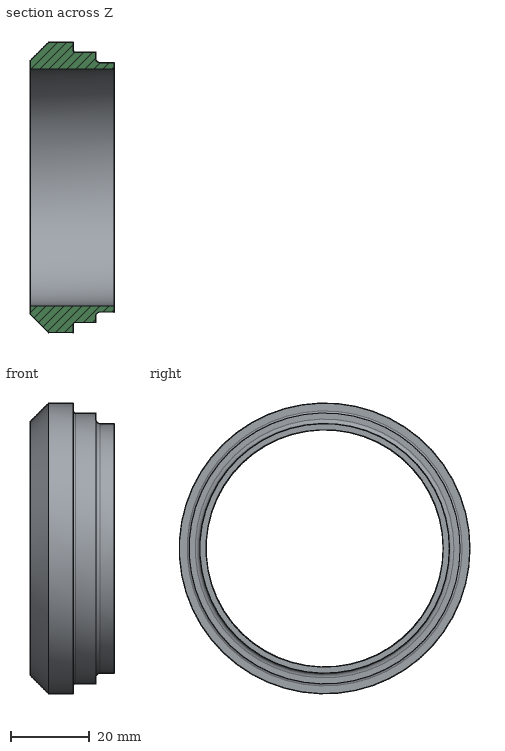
import cadquery as cq

length = 21.45
bore_diameter = 60.2
flange_diameter = 73.95
shoulder_diameter = 68.85
spigot_diameter = 63.5

flange_end = 11.0
shoulder_end = 16.7
taper_size = 4.7
flange_edge_chamfer = 0.1
spigot_edge_chamfer = 0.1
bore_edge_chamfer = 0.15
flange_root_fillet = 0.5
shoulder_root_fillet = 1.1

bore_radius = bore_diameter / 2
flange_radius = flange_diameter / 2
shoulder_radius = shoulder_diameter / 2
spigot_radius = spigot_diameter / 2


def root_fillet(profile, face_x, radius, size):
    """Run down a step face, then blend it with a concave arc into the smaller cylinder."""
    mid_offset = size * (1 - 0.5 ** 0.5)
    return profile.lineTo(face_x, radius + size).threePointArc(
        (face_x + mid_offset, radius + mid_offset),
        (face_x + size, radius),
    )


profile = (
    cq.Workplane("XY")
    .moveTo(bore_edge_chamfer, bore_radius)
    .lineTo(0, bore_radius + bore_edge_chamfer)
    .lineTo(0, flange_radius - taper_size)
    .lineTo(taper_size, flange_radius)
    .lineTo(flange_end - flange_edge_chamfer, flange_radius)
    .lineTo(flange_end, flange_radius - flange_edge_chamfer)
)
profile = root_fillet(profile, flange_end, shoulder_radius, flange_root_fillet)
profile = profile.lineTo(shoulder_end, shoulder_radius)
profile = root_fillet(profile, shoulder_end, spigot_radius, shoulder_root_fillet)
profile = (
    profile.lineTo(length - spigot_edge_chamfer, spigot_radius)
    .lineTo(length, spigot_radius - spigot_edge_chamfer)
    .lineTo(length, bore_radius)
    .close()
)

result = profile.revolve(360, (0, 0, 0), (1, 0, 0))